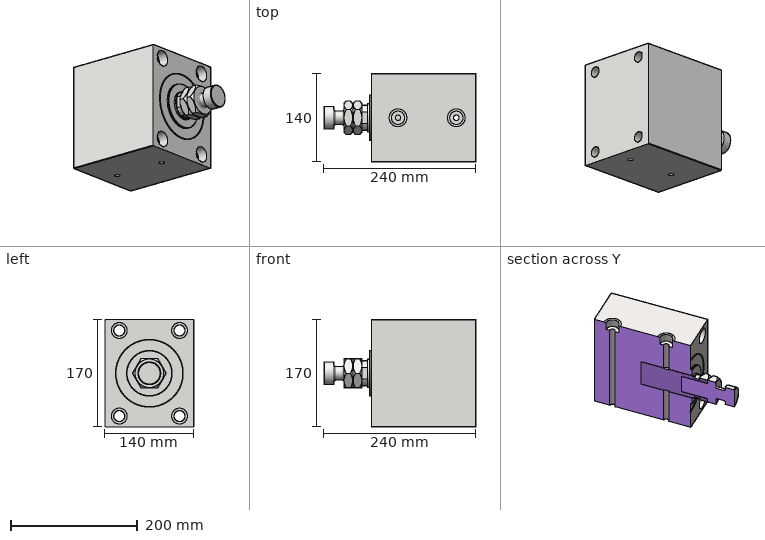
import cadquery as cq
import math


block_length = 165.0
block_width = 140.0
block_height = 170.0
block_edge_chamfer = 1.0

disc_diameter = 72.0
disc_height = 3.0
disc_chamfer = 0.75
groove_outer_diameter = 107.0
groove_width = 0.8
groove_depth = 1.0

mount_spacing_y = 95.0
mount_spacing_z = 135.0
mount_hole_diameter = 17.0
mount_counterbore_diameter = 25.0
mount_counterbore_depth = 17.0

front_port_x = 42.0
rear_port_x = 134.0
port_spotface_diameter = 28.0
port_spotface_depth = 0.2
port_thread_diameter = 21.0
port_thread_depth = 14.0
port_bore_diameter = 8.5

pin_head_diameter = 36.0
pin_head_length = 16.0
pin_head_chamfer = 1.0
pin_neck_diameter = 22.0
pin_neck_length = 15.5
head_fillet = 2.5
collar_fillet = 1.5
stud_diameter = 30.0
stud_depth_in_rod = 30.0

hex_across_flats = 46.0
hex_thickness = 14.5
hex_end_inset = 0.5
hex_chamfer_angle = 45.0

rod_diameter = 45.0
rod_chamfer = 0.5
rod_end_diameter = 44.0
rod_end_across_flats = 40.0
rod_front_x = -14.5
rod_shoulder_x = -6.3
rod_depth_in_block = 85.0

nut_front_x = rod_front_x - hex_thickness
collar_front_x = nut_front_x - hex_thickness
neck_front_x = collar_front_x - pin_neck_length
head_front_x = neck_front_x - pin_head_length


def rod_axis_cylinder(diameter, x_start, x_end):
    """Cylinder on the rod axis between two X stations."""
    sketch = cq.Workplane("YZ", origin=(x_start, 0, 0)).circle(diameter / 2)
    return sketch.extrude(x_end - x_start)


def chamfered_hexagon(x_start):
    """Hexagon with two flats facing +Z and -Z, its corners turned down to a cone at both ends."""
    corner_radius = hex_across_flats / math.sqrt(3)
    face_radius = hex_across_flats / 2 - hex_end_inset
    cone_length = (corner_radius - face_radius) * math.tan(math.radians(hex_chamfer_angle))
    x_end = x_start + hex_thickness
    prism = (
        cq.Workplane("YZ", origin=(x_start, 0, 0))
        .polygon(6, 2 * corner_radius)
        .extrude(hex_thickness)
    )
    turned_envelope = (
        cq.Workplane("XY")
        .moveTo(x_start, 0)
        .lineTo(x_start, face_radius)
        .lineTo(x_start + cone_length, corner_radius)
        .lineTo(x_end - cone_length, corner_radius)
        .lineTo(x_end, face_radius)
        .lineTo(x_end, 0)
        .close()
        .revolve(360, (0, 0, 0), (1, 0, 0))
    )
    return prism.intersect(turned_envelope)


def port_cutter(x):
    """Spotface, thread bore and narrow bore through the whole block height."""
    top_z = block_height / 2
    stages = [
        (port_spotface_diameter, port_spotface_depth),
        (port_thread_diameter, port_thread_depth),
        (port_bore_diameter, block_height),
    ]
    cutter = cq.Workplane("XY")
    for diameter, depth in stages:
        stage = cq.Workplane("XY", origin=(x, 0, top_z)).circle(diameter / 2).extrude(-depth)
        cutter = cutter.union(stage)
    return cutter


def make_housing():
    block = (
        cq.Workplane("XY")
        .box(block_length, block_width, block_height, centered=(False, True, True))
        .edges("|X")
        .chamfer(block_edge_chamfer)
    )
    drilled_block = (
        block.faces("<X")
        .workplane(centerOption="CenterOfBoundBox")
        .rect(mount_spacing_y, mount_spacing_z, forConstruction=True)
        .vertices()
        .cboreHole(mount_hole_diameter, mount_counterbore_diameter, mount_counterbore_depth)
    )
    groove_inner_diameter = groove_outer_diameter - 2 * groove_width
    groove = rod_axis_cylinder(groove_outer_diameter, 0, groove_depth).cut(
        rod_axis_cylinder(groove_inner_diameter, 0, groove_depth)
    )
    disc = rod_axis_cylinder(disc_diameter, -disc_height, 0).faces("<X").chamfer(disc_chamfer)
    housing = drilled_block.cut(groove).union(disc)
    for port_x in (front_port_x, rear_port_x):
        housing = housing.cut(port_cutter(port_x))
    return housing.cut(rod_axis_cylinder(rod_diameter, -disc_height, rod_depth_in_block))


def make_rod():
    shaft = (
        rod_axis_cylinder(rod_diameter, rod_shoulder_x, rod_depth_in_block)
        .faces("<X")
        .chamfer(rod_chamfer)
    )
    wrench_length = rod_shoulder_x - rod_front_x
    wrench_flats = (
        cq.Workplane("YZ", origin=(rod_front_x, 0, 0))
        .rect(rod_end_across_flats, rod_end_across_flats)
        .extrude(wrench_length)
    )
    rod_end = rod_axis_cylinder(rod_end_diameter, rod_front_x, rod_shoulder_x).intersect(wrench_flats)
    stud_hole = rod_axis_cylinder(stud_diameter, rod_front_x, rod_front_x + stud_depth_in_rod)
    return shaft.union(rod_end).cut(stud_hole)


def make_lock_nut():
    thread_bore = rod_axis_cylinder(stud_diameter, nut_front_x, rod_front_x)
    return chamfered_hexagon(nut_front_x).cut(thread_bore)


def neck_flare(x_face, direction, fillet_radius):
    """Concave round where the neck meets a flat face; direction is +1 or -1 along X, away from the face."""
    neck_radius = pin_neck_diameter / 2
    arc_offset = fillet_radius * (1 - math.sqrt(0.5))
    return (
        cq.Workplane("XY")
        .moveTo(x_face, 0)
        .lineTo(x_face, neck_radius + fillet_radius)
        .threePointArc(
            (x_face + direction * arc_offset, neck_radius + arc_offset),
            (x_face + direction * fillet_radius, neck_radius),
        )
        .lineTo(x_face + direction * fillet_radius, 0)
        .close()
        .revolve(360, (0, 0, 0), (1, 0, 0))
    )


def make_coupling_pin():
    head = (
        rod_axis_cylinder(pin_head_diameter, head_front_x, neck_front_x)
        .faces("<X")
        .chamfer(pin_head_chamfer)
    )
    neck = (
        rod_axis_cylinder(pin_neck_diameter, neck_front_x, collar_front_x)
        .union(neck_flare(neck_front_x, 1, head_fillet))
        .union(neck_flare(collar_front_x, -1, collar_fillet))
    )
    collar = chamfered_hexagon(collar_front_x)
    stud = rod_axis_cylinder(stud_diameter, nut_front_x, rod_front_x + stud_depth_in_rod)
    return head.union(neck).union(collar).union(stud)


housing = make_housing()
rod = make_rod()
lock_nut = make_lock_nut()
coupling_pin = make_coupling_pin()

result = cq.Compound.makeCompound(
    [housing.val(), rod.val(), lock_nut.val(), coupling_pin.val()]
)